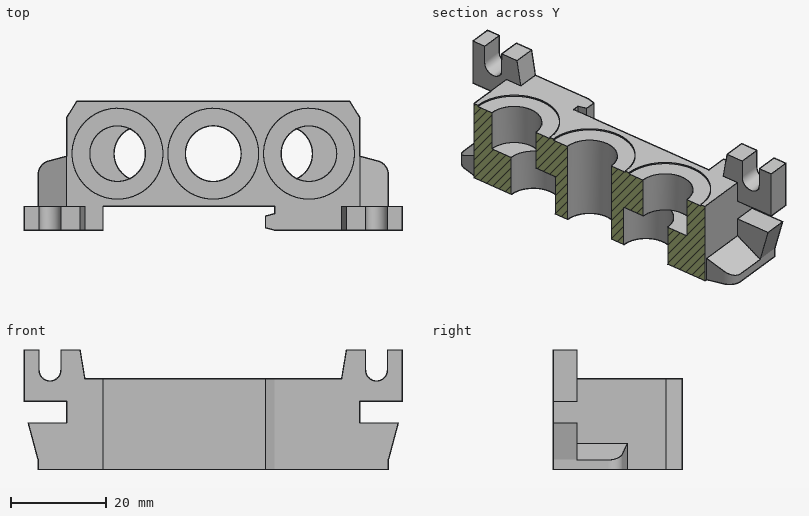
import cadquery as cq
import math

BODY_HALF_LENGTH = 30.6
BODY_FRONT_Y = 5.0
BODY_BACK_Y = 27.0
BODY_HEIGHT = 19.0
CORNER_CUT_X = 2.1
CORNER_CUT_Y = 3.4

BORE_SPACING = 20.0
BORE_Y = (BODY_FRONT_Y + BODY_BACK_Y) / 2
BORE_RADIUS = 5.8
SEAT_RADIUS = 9.5
SEAT_DEPTH = 0.3
LOWER_BORE_X = 14.9
STEP_Z = BODY_HEIGHT / 2

OVERALL_HALF_LENGTH = 39.5
OVERALL_HEIGHT = 25.0
HOOK_INNER_TOP_X = 27.8
HOOK_INNER_FOOT_X = 26.8
SIDE_NOTCH_BOTTOM_Z = 9.75
SIDE_NOTCH_TOP_Z = 14.25
SLOT_X = 34.1
SLOT_WIDTH = 4.5
SLOT_BOTTOM_Z = 18.5

LEFT_PLATE_INNER_X = -23.0
RIGHT_PLATE_INNER_X = 12.8
NOSE_LENGTH = 1.9
NOSE_BASE_WIDTH = 3.5

WING_HALF_LENGTH = 36.6
WING_EDGE_HEIGHT = 2.0
WING_BACK_Y = 15.5
WING_CORNER_RADIUS = 3.0
WING_SLOPE = math.tan(math.radians(30))
TAPER = math.tan(math.radians(15))


def prism_along_y(points, depth):
    """Extrude an XZ outline from Y = 0 towards +Y."""
    return cq.Workplane("XZ").polyline(points).close().extrude(-depth)


def make_body():
    body = cq.Workplane("XY").polyline([
        (-BODY_HALF_LENGTH, BODY_FRONT_Y),
        (BODY_HALF_LENGTH, BODY_FRONT_Y),
        (BODY_HALF_LENGTH, BODY_BACK_Y - CORNER_CUT_Y),
        (BODY_HALF_LENGTH - CORNER_CUT_X, BODY_BACK_Y),
        (-BODY_HALF_LENGTH + CORNER_CUT_X, BODY_BACK_Y),
        (-BODY_HALF_LENGTH, BODY_BACK_Y - CORNER_CUT_Y),
    ])
    return body.close().extrude(BODY_HEIGHT)


def make_hook_plate(inner_x):
    """Plate at the right-hand end, from inner_x out to the overall length."""
    side_rise = SIDE_NOTCH_BOTTOM_Z - WING_EDGE_HEIGHT
    plate = prism_along_y([
        (inner_x, 0),
        (WING_HALF_LENGTH, 0),
        (WING_HALF_LENGTH, WING_EDGE_HEIGHT),
        (WING_HALF_LENGTH + side_rise * TAPER, SIDE_NOTCH_BOTTOM_Z),
        (BODY_HALF_LENGTH, SIDE_NOTCH_BOTTOM_Z),
        (BODY_HALF_LENGTH, SIDE_NOTCH_TOP_Z),
        (OVERALL_HALF_LENGTH, SIDE_NOTCH_TOP_Z),
        (OVERALL_HALF_LENGTH, OVERALL_HEIGHT),
        (HOOK_INNER_TOP_X, OVERALL_HEIGHT),
        (HOOK_INNER_FOOT_X, BODY_HEIGHT),
        (inner_x, BODY_HEIGHT),
    ], BODY_FRONT_Y)
    return plate.cut(make_hook_slot())


def make_hook_slot():
    """U-shaped slot, open at the top, with a round bottom."""
    radius = SLOT_WIDTH / 2
    arc_z = SLOT_BOTTOM_Z + radius
    slot = (
        cq.Workplane("XZ")
        .moveTo(SLOT_X - radius, OVERALL_HEIGHT)
        .lineTo(SLOT_X - radius, arc_z)
        .threePointArc((SLOT_X, SLOT_BOTTOM_Z), (SLOT_X + radius, arc_z))
        .lineTo(SLOT_X + radius, OVERALL_HEIGHT)
        .close()
    )
    return slot.extrude(-BODY_FRONT_Y)


def make_nose():
    """Tapered rib on the inner edge of the right-hand plate, over the full block height."""
    side_run = NOSE_LENGTH * TAPER
    tip_x = RIGHT_PLATE_INNER_X - NOSE_LENGTH
    nose = cq.Workplane("XY").polyline([
        (RIGHT_PLATE_INNER_X, 0),
        (RIGHT_PLATE_INNER_X, NOSE_BASE_WIDTH),
        (tip_x, NOSE_BASE_WIDTH - side_run),
        (tip_x, side_run),
    ])
    return nose.close().extrude(BODY_HEIGHT)


def make_wing():
    """Right-hand wing: rounded plan outline under a top face that falls outwards."""
    wing_length = WING_HALF_LENGTH - BODY_HALF_LENGTH
    root_height = WING_EDGE_HEIGHT + wing_length * WING_SLOPE
    plan = (
        cq.Workplane("XY")
        .polyline([
            (BODY_HALF_LENGTH, 0),
            (WING_HALF_LENGTH, 0),
            (WING_HALF_LENGTH, WING_BACK_Y - wing_length * TAPER),
            (BODY_HALF_LENGTH, WING_BACK_Y),
        ])
        .close()
        .extrude(root_height)
        .edges(">X and |Z")
        .edges(">Y")
        .fillet(WING_CORNER_RADIUS)
    )
    profile = prism_along_y([
        (BODY_HALF_LENGTH, 0),
        (WING_HALF_LENGTH, 0),
        (WING_HALF_LENGTH, WING_EDGE_HEIGHT),
        (BODY_HALF_LENGTH, root_height),
    ], WING_BACK_Y)
    return plan.intersect(profile)


def cylinder(x, radius, bottom_z, top_z):
    """Vertical cylinder on the row of bores."""
    return cq.Workplane("XY", origin=(x, BORE_Y, bottom_z)).circle(radius).extrude(top_z - bottom_z)


def cut_bores(part):
    for side in (-1, 0, 1):
        x = side * BORE_SPACING
        upper_bottom_z = STEP_Z if side else 0
        part = part.cut(cylinder(x, SEAT_RADIUS, BODY_HEIGHT - SEAT_DEPTH, BODY_HEIGHT))
        part = part.cut(cylinder(x, BORE_RADIUS, upper_bottom_z, BODY_HEIGHT))
        if side:
            part = part.cut(cylinder(side * LOWER_BORE_X, BORE_RADIUS, 0, STEP_Z))
    return part


right_wing = make_wing()
left_plate = make_hook_plate(-LEFT_PLATE_INNER_X).mirror("YZ")

part = make_body()
part = part.union(right_wing).union(right_wing.mirror("YZ"))
part = part.union(make_hook_plate(RIGHT_PLATE_INNER_X)).union(left_plate)
part = part.union(make_nose())
result = cut_bores(part)